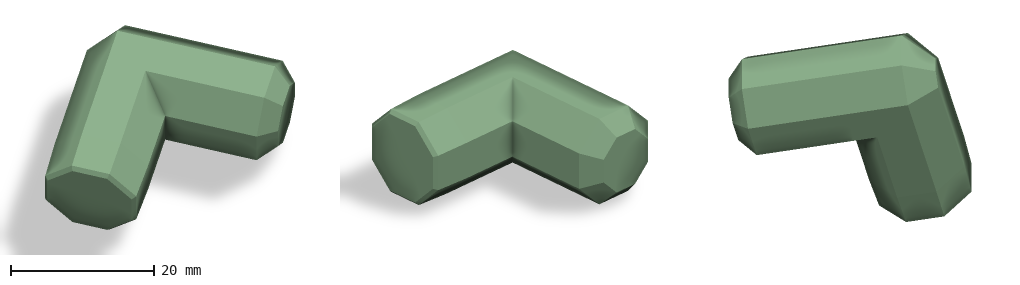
import cadquery as cq
import math

length_x = 29.3
length_y = 28.5
bar_width = 13.6
apothem = bar_width / 2

corner_chamfer = bar_width * (1 - math.tan(math.radians(22.5))) / 2
end_chamfer = 2.43

tip_length = 6.0
tip_draft = 2.0
tip_chamfer = 0.53
taper_length = tip_length - tip_chamfer
taper_inset = taper_length * math.tan(math.radians(tip_draft))

axis_x = apothem
axis_y = -apothem


def octagonal_bar(plane, stations):
    """Bar along the plane normal, from (distance, inset) pairs between which it tapers evenly."""
    bar = cq.Workplane(plane)
    for (start, start_inset), (end, end_inset) in zip(stations, stations[1:]):
        section = cq.Workplane(plane).workplane(offset=start)
        for inset, step in ((start_inset, end - start), (end_inset, 0)):
            radius = (apothem - inset) / math.cos(math.pi / 8)
            corners = [
                (
                    radius * math.cos(math.pi / 8 + side * math.pi / 4),
                    radius * math.sin(math.pi / 8 + side * math.pi / 4),
                )
                for side in range(8)
            ]
            section = section.polyline(corners).close().workplane(offset=step)
        bar = bar.union(section.loft(ruled=True, combine=True))
    return bar


x_leg = octagonal_bar(
    cq.Plane(origin=(0, axis_y, 0), xDir=(0, 1, 0), normal=(1, 0, 0)),
    [
        (0, corner_chamfer),
        (corner_chamfer, 0),
        (length_x - end_chamfer, 0),
        (length_x, end_chamfer),
    ],
)

y_leg_length = length_y - apothem
y_leg = octagonal_bar(
    cq.Plane(origin=(axis_x, axis_y, 0), xDir=(1, 0, 0), normal=(0, -1, 0)),
    [
        (0, 0),
        (y_leg_length - tip_length, 0),
        (y_leg_length - tip_chamfer, taper_inset),
        (y_leg_length, taper_inset + tip_chamfer),
    ],
)

result = x_leg.union(y_leg)